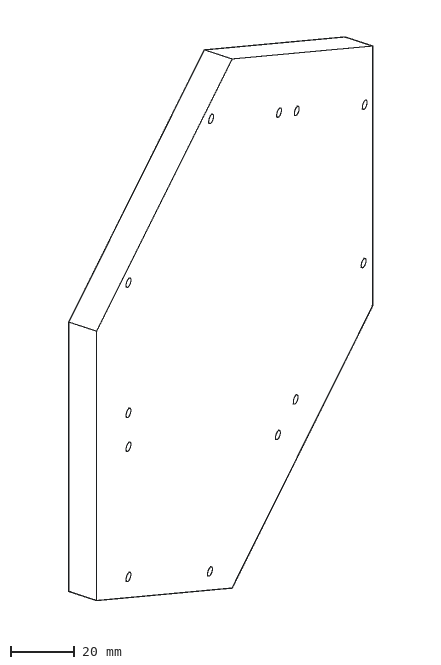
import cadquery as cq
import math

height = 204.5
half_height = height / 2
thickness = 10.0
plate_turn = -60.0
apex_to_near_edge = 87.0
apex_to_far_edge = 90.2
edge_slope = math.tan(math.radians(30))

hole_diameter = 3.0
row_count = 3
row_radius = 68.0
row_shift = 0.5
inner_half_spacing = 6.5
outer_half_spacing = 56.9
pattern_center = (-1.5, 0.6)


def hexagon_points():
    near_half_edge = half_height - apex_to_near_edge * edge_slope
    far_half_edge = half_height - apex_to_far_edge * edge_slope
    return [
        (0, half_height),
        (apex_to_near_edge, near_half_edge),
        (apex_to_near_edge, -near_half_edge),
        (0, -half_height),
        (-apex_to_far_edge, -far_half_edge),
        (-apex_to_far_edge, far_half_edge),
    ]


def hole_points():
    points = []
    for row in range(row_count):
        angle = 2 * math.pi * row / row_count
        for spacing in (-outer_half_spacing, -inner_half_spacing, inner_half_spacing, outer_half_spacing):
            along = row_shift + spacing
            x = pattern_center[0] + row_radius * math.cos(angle) - along * math.sin(angle)
            y = pattern_center[1] + row_radius * math.sin(angle) + along * math.cos(angle)
            points.append((x, y))
    return points


plate = cq.Workplane("XZ").polyline(hexagon_points()).close().extrude(-thickness)
holes = cq.Workplane("XZ").pushPoints(hole_points()).circle(hole_diameter / 2).extrude(-thickness)

result = plate.cut(holes).rotate((0, 0, 0), (0, 0, 1), plate_turn)